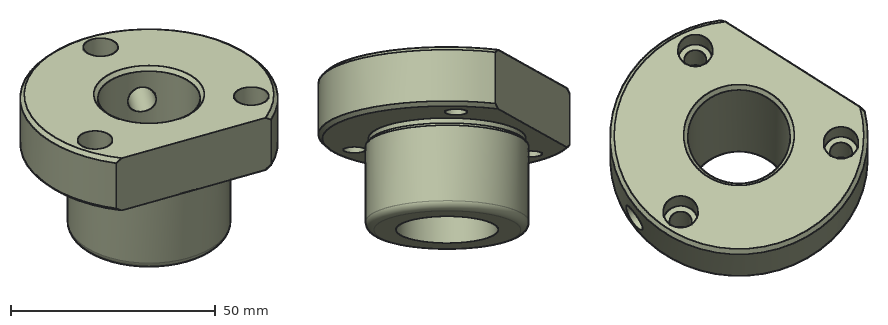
import cadquery as cq
import math

flange_radius = 31.5
flange_height = 15.0
flat_x = 23.05
edge_chamfer = 1.0

total_height = 38.0
spigot_radius = 19.95
spigot_fillet = 2.0
relief_depth = 0.7
relief_width = 2.0
relief_straight = 1.25

bore_radius = 12.5

bolt_circle_radius = 25.0
bolt_angles = (60, 180, 300)
bolt_diameter = 5.5
counterbore_diameter = 8.5
counterbore_depth = 6.0

port_diameter = 7.0
port_angle = 160
port_z = -9.0


def polar_point(radius, angle):
    """X and Y of a point at a radius and an angle in degrees about the part axis."""
    return radius * math.cos(math.radians(angle)), radius * math.sin(math.radians(angle))


def make_flange():
    """Disc with chamfered rims and one flat side."""
    disc = (
        cq.Workplane("XY")
        .circle(flange_radius)
        .extrude(-flange_height)
        .edges()
        .chamfer(edge_chamfer)
    )
    cutter = cq.Workplane("XY").box(
        flange_radius, 2 * flange_radius, flange_height, centered=(False, True, False)
    )
    return disc.cut(cutter.translate((flat_x, 0, -flange_height)))


def make_spigot():
    """Revolved spigot with a relief groove under the flange and a rounded end."""
    relief_radius = spigot_radius - relief_depth
    shoulder_z = -flange_height
    profile = (
        cq.Workplane("XZ")
        .moveTo(0, shoulder_z)
        .lineTo(relief_radius, shoulder_z)
        .lineTo(relief_radius, shoulder_z - relief_straight)
        .lineTo(spigot_radius, shoulder_z - relief_width)
        .lineTo(spigot_radius, -total_height)
        .lineTo(0, -total_height)
        .close()
    )
    spigot = profile.revolve(360, (0, 0), (0, 1))
    return spigot.faces("<Z").edges().fillet(spigot_fillet)


def cut_bore(body):
    """Through bore with a chamfered mouth at the top."""
    bore = cq.Workplane("XY").circle(bore_radius).extrude(-total_height)
    mouth = cq.Solid.makeCone(
        bore_radius + edge_chamfer, bore_radius, edge_chamfer, cq.Vector(0, 0, 0), cq.Vector(0, 0, -1)
    )
    return body.cut(bore).cut(cq.Workplane(obj=mouth))


def cut_bolt_holes(body):
    """Counterbored holes through the flange, evenly spaced about the bore."""
    points = [polar_point(bolt_circle_radius, angle) for angle in bolt_angles]
    through = cq.Workplane("XY").pushPoints(points).circle(bolt_diameter / 2).extrude(-flange_height)
    counterbore = (
        cq.Workplane("XY").pushPoints(points).circle(counterbore_diameter / 2).extrude(-counterbore_depth)
    )
    return body.cut(through).cut(counterbore)


def cut_port(body):
    """Radial hole from the bore out through the flange rim."""
    axis_x, axis_y = polar_point(1, port_angle)
    port = cq.Solid.makeCylinder(
        port_diameter / 2, flange_radius, cq.Vector(0, 0, port_z), cq.Vector(axis_x, axis_y, 0)
    )
    return body.cut(cq.Workplane(obj=port))


body = make_flange().union(make_spigot())
body = cut_bore(body)
body = cut_bolt_holes(body)
result = cut_port(body)